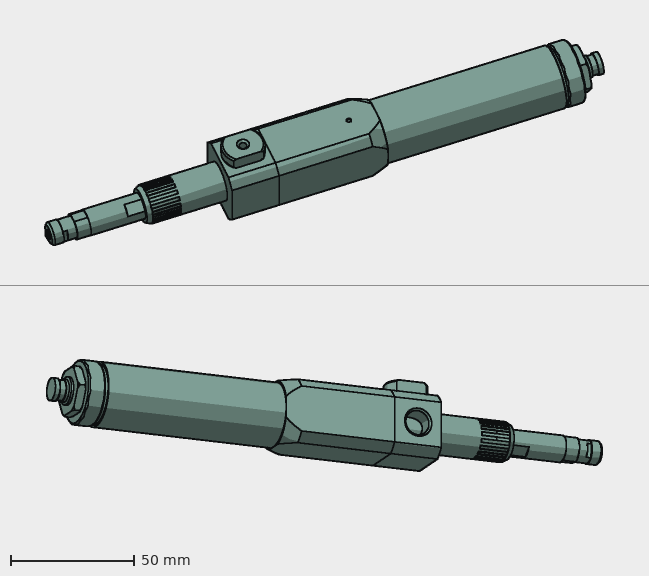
import cadquery as cq
import math


body_width = 27.0
body_corner_dia = 33.0
block_length = 20.5
square_end_y = 61.5
taper_end_y = 68.4
taper_end_dia = 28.4
barrel_end_y = 146.5

nose_dia = 16.7
knurl_start_y = -20.0
knurl_end_y = -32.5
nose_end_y = -34.7
nose_tip_dia = 14.5
knurl_count = 18
knurl_groove_width = 1.5
knurl_groove_depth = 0.5
nose_flat_start_y = -26.7
nose_flat_across = 16.0

station_y = 10.2
window_dia = 10.2
window_mouth_dia = 11.9

mount_dia = 18.0
mount_width = 12.4
mount_height = 5.8
mount_chamfer = 0.7
mount_hole_dia = 3.2
mount_sink_dia = 5.0

dimple_y = 56.5
dimple_dia = 2.0
dimple_depth = 0.7

cap_start_y = 147.6
cap_end_y = 155.1
cap_flat_count = 14
cap_flats_across = 26.5
cap_chamfer = 0.7
cap_neck_dia = 25.2
hex_end_y = 158.8
hex_across_corners = 21.5
hex_chamfer = 0.7
collar_dia = 11.6
collar_end_y = 159.7
plug_dia = 9.5
plug_neck_dia = 8.5
plug_front_y = 160.2
plug_neck_start_y = 161.5
plug_neck_end_y = 164.0
plug_end_y = 166.3

spindle_dia = 11.2
wrench_start_y = -58.5
wrench_dia = 11.0
shank_end_y = -64.2
tip_dia = 9.5
head_dia = 10.0
tip_end_y = -75.0
head_chamfer = 1.0
pin_dia = 4.0
pin_end_y = -75.6
nib_dia = 1.5
nib_end_y = -76.0
key_flats_across = 10.0
key_flat_end_y = -42.2
key_flat_angle = 52.0
wrench_flats_across = 10.0
wrench_flat_angle = 97.5
notch_across = 7.5
notch_start_y = -68.0
notch_end_y = -70.0
notch_angle = wrench_flat_angle - 90


def turned(profile):
    """Solid of revolution about the Y axis from (radius, y) points, closed along the axis."""
    points = [(0, profile[0][1]), *profile, (0, profile[-1][1])]
    return cq.Workplane("XY").polyline(points).close().revolve(360, (0, 0, 0), (0, 1, 0))


def rod(diameter, start_y, end_y):
    return turned([(diameter / 2, start_y), (diameter / 2, end_y)])


def square_bar(start_y, end_y):
    length = end_y - start_y
    return cq.Workplane("XY").box(body_width, length, body_width).translate((0, (start_y + end_y) / 2, 0))


def prism(side_count, corner_dia, start_y, end_y):
    """Regular prism along Y with one corner on +X."""
    return (
        cq.Workplane("XZ", origin=(0, end_y, 0))
        .polygon(side_count, corner_dia)
        .extrude(end_y - start_y)
    )


def outside_flats(across, start_y, end_y, angle):
    """Cutter for a pair of opposite flats whose normals lie at an angle from +X towards +Z."""
    cutter = rod(body_width, start_y, end_y)
    kept = cq.Workplane("XY").box(across, end_y - start_y, body_width)
    kept = kept.translate((0, (start_y + end_y) / 2, 0))
    return cutter.cut(kept).rotate((0, 0, 0), (0, 1, 0), -angle)


def make_housing():
    corner_radius = body_corner_dia / 2
    square = turned([
        (corner_radius, block_length),
        (corner_radius, square_end_y),
        (taper_end_dia / 2, taper_end_y),
    ]).intersect(square_bar(block_length, taper_end_y))
    barrel = rod(body_width, taper_end_y, barrel_end_y)
    dimple = (
        cq.Workplane("XY", origin=(0, dimple_y, body_width / 2 - dimple_depth))
        .circle(dimple_dia / 2)
        .extrude(dimple_depth)
    )
    return square.union(barrel).cut(dimple)


def knurl_grooves():
    length = knurl_start_y - knurl_end_y
    groove = cq.Workplane("XY").box(2 * knurl_groove_depth, length, knurl_groove_width)
    groove = groove.translate((nose_dia / 2, (knurl_start_y + knurl_end_y) / 2, 0))
    grooves = cq.Workplane("XY")
    for index in range(knurl_count):
        grooves = grooves.add(groove.rotate((0, 0, 0), (0, 1, 0), index * 360 / knurl_count))
    return grooves


def cross_window():
    """Chamfered hole from the -X side to the spindle bore."""
    mouth_chamfer = (window_mouth_dia - window_dia) / 2
    face_x = -body_width / 2
    profile = [
        (face_x, 0),
        (face_x, window_mouth_dia / 2),
        (face_x + mouth_chamfer, window_dia / 2),
        (0, window_dia / 2),
        (0, 0),
    ]
    window = cq.Workplane("XY").polyline(profile).close().revolve(360, (0, 0, 0), (1, 0, 0))
    return window.translate((0, station_y, 0))


def make_front_block():
    block = rod(body_corner_dia, 0, block_length).intersect(square_bar(0, block_length))
    nose = turned([
        (nose_tip_dia / 2, nose_end_y),
        (nose_dia / 2, knurl_end_y),
        (nose_dia / 2, 0),
    ])
    for groove in knurl_grooves().vals():
        nose = nose.cut(cq.Workplane(groove))
    nose = nose.cut(outside_flats(nose_flat_across, knurl_end_y, nose_flat_start_y, 0))
    bore = rod(spindle_dia, nose_end_y, block_length)
    return block.union(nose).cut(bore).cut(cross_window())


def make_mount():
    disc = cq.Workplane("XY").circle(mount_dia / 2).extrude(mount_height).edges().chamfer(mount_chamfer)
    strip = cq.Workplane("XY").rect(mount_width, mount_dia).extrude(mount_height)
    mount = (
        disc.intersect(strip)
        .faces(">Z")
        .workplane(origin=(0, 0, mount_height))
        .cskHole(mount_hole_dia, mount_sink_dia, 90)
    )
    return mount.translate((0, station_y, body_width / 2))


def make_rear_cap():
    cap_radius = body_width / 2
    cap_corner_dia = cap_flats_across / math.cos(math.pi / cap_flat_count)
    ring = turned([
        (cap_radius - cap_chamfer, cap_start_y),
        (cap_radius, cap_start_y + cap_chamfer),
        (cap_radius, cap_end_y - cap_chamfer),
        (cap_radius - cap_chamfer, cap_end_y),
    ])
    flats = prism(cap_flat_count, cap_corner_dia, cap_start_y, cap_end_y)
    ring = ring.intersect(flats.rotate((0, 0, 0), (0, 1, 0), 90))
    neck = rod(cap_neck_dia, barrel_end_y, cap_start_y)

    hex_radius = hex_across_corners / 2
    hex_blank = turned([
        (hex_radius - hex_chamfer, cap_end_y),
        (hex_radius, cap_end_y + hex_chamfer),
        (hex_radius, hex_end_y - hex_chamfer),
        (hex_radius - hex_chamfer, hex_end_y),
    ])
    hexagon = prism(6, hex_across_corners, cap_end_y, hex_end_y).intersect(hex_blank)

    plug = turned([
        (collar_dia / 2, hex_end_y),
        (collar_dia / 2, collar_end_y),
        (plug_dia / 2, plug_front_y),
        (plug_dia / 2, plug_neck_start_y),
        (plug_neck_dia / 2, plug_neck_start_y),
        (plug_neck_dia / 2, plug_neck_end_y),
        (plug_dia / 2, plug_neck_end_y),
        (plug_dia / 2, plug_end_y),
    ])
    return neck.union(ring).union(hexagon).union(plug)


def make_spindle():
    shaft = turned([
        (nib_dia / 2, nib_end_y),
        (nib_dia / 2, pin_end_y),
        (pin_dia / 2, pin_end_y),
        (pin_dia / 2, tip_end_y),
        (head_dia / 2 - head_chamfer, tip_end_y),
        (head_dia / 2, tip_end_y + head_chamfer),
        (head_dia / 2, notch_end_y),
        (tip_dia / 2, notch_end_y),
        (tip_dia / 2, shank_end_y),
        (wrench_dia / 2, shank_end_y),
        (wrench_dia / 2, wrench_start_y),
        (spindle_dia / 2, wrench_start_y),
        (spindle_dia / 2, block_length),
    ])
    key_flats = outside_flats(key_flats_across, key_flat_end_y, nose_end_y, key_flat_angle)
    wrench_flats = outside_flats(wrench_flats_across, shank_end_y, wrench_start_y, wrench_flat_angle)
    notches = outside_flats(notch_across, notch_end_y, notch_start_y, notch_angle)
    return shaft.cut(key_flats).cut(wrench_flats).cut(notches)


housing = make_housing()
front_block = make_front_block()
mount = make_mount()
rear_cap = make_rear_cap()
spindle = make_spindle()

result = cq.Compound.makeCompound([
    housing.val(),
    front_block.val(),
    mount.val(),
    rear_cap.val(),
    spindle.val(),
])